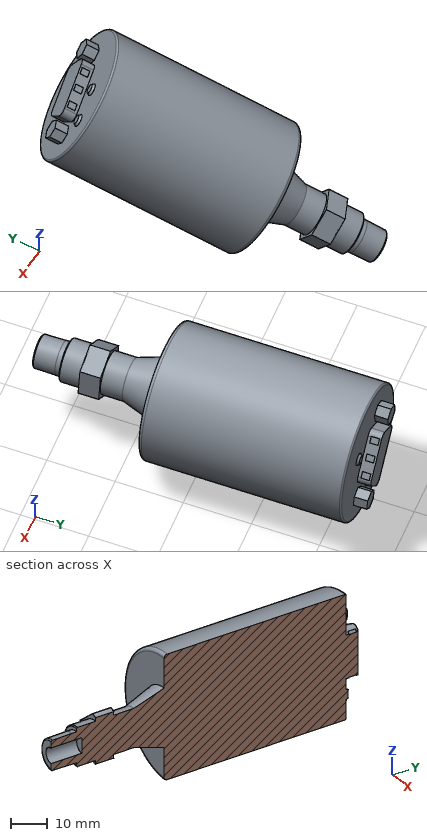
import cadquery as cq
import math

OVERALL_LENGTH = 100.5
TAPER_END_Y = 6.7
SHOULDER_Y = 8.3
HEX_START_Y = 14.6
HEX_LENGTH = 6.0
CONE_START_Y = 27.0
BODY_FRONT_Y = 37.0
BODY_BACK_Y = 96.5
CAP_HEIGHT = OVERALL_LENGTH - BODY_BACK_Y

BODY_RADIUS = 20.1
BODY_FRONT_FILLET = 1.0
BODY_BACK_FILLET = 0.5
CONE_BASE_RADIUS = 9.5
NECK_RADIUS = 6.3
NECK_CHAMFER = 0.3
NOZZLE_RADIUS = 5.0
NOZZLE_TIP_RADIUS = 4.9
NOZZLE_CHAMFER = 0.4
BORE_DIAMETER = 4.8
BORE_DEPTH = 10.0

CAP_ANGLE = 40.0

HEX_ACROSS_FLATS = 14.1

BLOCK_WIDTH = 9.0
BLOCK_MEAN_LENGTH = 16.8
BLOCK_END_SLOPE = 10.0
BLOCK_CORNER_RADIUS = 2.0

WINDOW_COUNT = 3
WINDOW_PITCH = 5.1
WINDOW_WIDTH = 1.9
WINDOW_HEIGHT = 2.4
WINDOW_DEPTH = 0.1
WINDOW_CENTRE_Y = 98.7

HEAD_ACROSS_FLATS = 5.1
HEAD_DISTANCE = 12.4
UPPER_HEAD_CORNER_ANGLE = 25.0
LOWER_HEAD_CORNER_ANGLE = 44.0

DOME_BASE_RADIUS = 1.8
DOME_TOP_RADIUS = 1.3
DOME_HEIGHT = 0.7
SIDE_DOME_DISTANCE = 9.0
LOWER_DOME_DISTANCE = 12.1
LOWER_DOME_ANGLE = -90.0


def section_plane(y):
    """XZ plane at height y that extrudes toward +Y (local x is -X, local y is Z)."""
    return cq.Workplane(cq.Plane(origin=(0, y, 0), xDir=(-1, 0, 0), normal=(0, 1, 0)))


def turn_about_axis(shape, angle):
    """Turn a shape about the Y axis, from +X toward +Z."""
    return shape.rotate((0, 0, 0), (0, 1, 0), -angle)


def polar_point(distance, angle, y):
    """Point at a distance from the Y axis in the given direction."""
    direction = math.radians(angle)
    return (distance * math.cos(direction), y, distance * math.sin(direction))


def make_hexagon(start_y, length, across_flats, corner_angle):
    corner_diameter = across_flats / math.cos(math.pi / 6)
    hexagon = section_plane(start_y).polygon(6, corner_diameter).extrude(length)
    return turn_about_axis(hexagon, corner_angle)


def make_turned_body():
    """Nozzle, neck, cone and body turned in one piece, with rounded body edges."""
    front_rim_y = BODY_FRONT_Y + BODY_FRONT_FILLET
    back_rim_y = BODY_BACK_Y - BODY_BACK_FILLET
    return (
        cq.Workplane("XY")
        .lineTo(NOZZLE_TIP_RADIUS - NOZZLE_CHAMFER, 0)
        .lineTo(NOZZLE_TIP_RADIUS, NOZZLE_CHAMFER)
        .lineTo(NOZZLE_RADIUS, TAPER_END_Y)
        .lineTo(NOZZLE_RADIUS, SHOULDER_Y)
        .lineTo(NECK_RADIUS - NECK_CHAMFER, SHOULDER_Y)
        .lineTo(NECK_RADIUS, SHOULDER_Y + NECK_CHAMFER)
        .lineTo(NECK_RADIUS, CONE_START_Y)
        .lineTo(CONE_BASE_RADIUS, BODY_FRONT_Y)
        .lineTo(BODY_RADIUS - BODY_FRONT_FILLET, BODY_FRONT_Y)
        .radiusArc((BODY_RADIUS, front_rim_y), -BODY_FRONT_FILLET)
        .lineTo(BODY_RADIUS, back_rim_y)
        .radiusArc((BODY_RADIUS - BODY_BACK_FILLET, BODY_BACK_Y), -BODY_BACK_FILLET)
        .lineTo(0, BODY_BACK_Y)
        .close()
        .revolve(360, (0, 0, 0), (0, 1, 0))
    )


def make_bore():
    return section_plane(0).circle(BORE_DIAMETER / 2).extrude(BORE_DEPTH)


def make_windows():
    """Cutters for the windows in both long faces of the block."""
    windows = cq.Workplane("XY")
    for side in (-1, 1):
        centre_x = side * (BLOCK_WIDTH - WINDOW_DEPTH) / 2
        for index in range(WINDOW_COUNT):
            centre_z = (index - (WINDOW_COUNT - 1) / 2) * WINDOW_PITCH
            window = cq.Workplane("XY").box(WINDOW_DEPTH, WINDOW_HEIGHT, WINDOW_WIDTH)
            windows = windows.add(window.translate((centre_x, WINDOW_CENTRE_Y, centre_z)))
    return windows.combine()


def make_block():
    half_width = BLOCK_WIDTH / 2
    slope_offset = half_width * math.tan(math.radians(BLOCK_END_SLOPE))
    wide_half_length = BLOCK_MEAN_LENGTH / 2 + slope_offset
    narrow_half_length = BLOCK_MEAN_LENGTH / 2 - slope_offset
    outline = [
        (half_width, wide_half_length),
        (half_width, -wide_half_length),
        (-half_width, -narrow_half_length),
        (-half_width, narrow_half_length),
    ]
    block = section_plane(BODY_BACK_Y).polyline(outline).close().extrude(CAP_HEIGHT)
    block = block.edges("|Y").fillet(BLOCK_CORNER_RADIUS)
    return turn_about_axis(block.cut(make_windows()), CAP_ANGLE)


def make_head(angle, corner_angle):
    head = make_hexagon(BODY_BACK_Y, CAP_HEIGHT, HEAD_ACROSS_FLATS, corner_angle)
    return head.translate(polar_point(HEAD_DISTANCE, angle, 0))


def make_dome(distance, angle):
    base_centre = cq.Vector(*polar_point(distance, angle, BODY_BACK_Y))
    up = cq.Vector(0, 1, 0)
    return cq.Solid.makeCone(DOME_BASE_RADIUS, DOME_TOP_RADIUS, DOME_HEIGHT, base_centre, up)


result = make_turned_body()
result = result.union(make_hexagon(HEX_START_Y, HEX_LENGTH, HEX_ACROSS_FLATS, CAP_ANGLE))
result = result.cut(make_bore())

result = result.union(make_block())
result = result.union(make_head(CAP_ANGLE + 90, UPPER_HEAD_CORNER_ANGLE))
result = result.union(make_head(CAP_ANGLE - 90, LOWER_HEAD_CORNER_ANGLE))

result = result.union(make_dome(SIDE_DOME_DISTANCE, CAP_ANGLE))
result = result.union(make_dome(SIDE_DOME_DISTANCE, CAP_ANGLE + 180))
result = result.union(make_dome(LOWER_DOME_DISTANCE, LOWER_DOME_ANGLE))